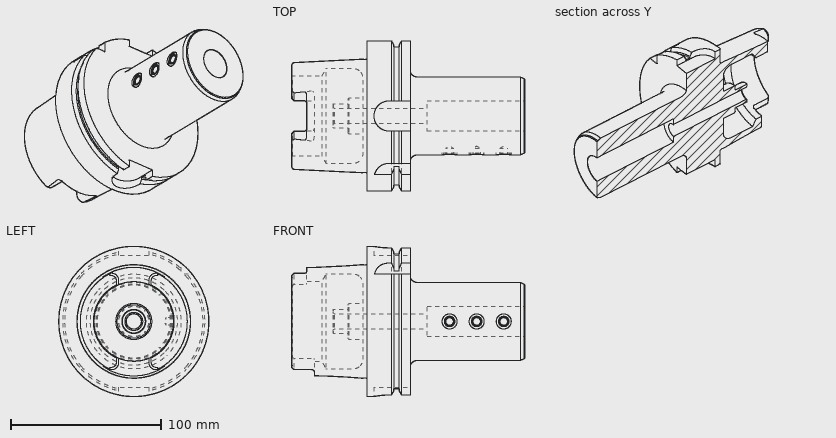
import cadquery as cq
import math


quarter_arc_inset = 1 - math.sqrt(0.5)

taper_length = 50.0
taper_gauge_x = -2.8
taper_gauge_diameter = 75.7
taper_ratio = 1 / 10
taper_nose_radius = 2.0
undercut_diameter = 75.3
undercut_start_x = -1.9
undercut_fillet = 1.0
undercut_face_depth = 0.1
undercut_face_diameter = 78.6

flange_diameter = 100.0
flange_width = 29.0
groove_front_x = 16.4
groove_floor_start_x = 17.9
groove_floor_end_x = 21.5
groove_back_x = 23.0
groove_floor_diameter = 92.0
groove_bevel_height = 2.7

total_length = 155.0
nose_x = total_length - taper_length
shank_diameter = 52.0
shank_root_fillet = 5.0
shank_root_reach = 4.6
shank_chamfer_length = 3.0
shank_chamfer_height = 1.1
shank_edge_break = 0.6

bore_diameter = 53.0
bore_mouth_diameter = 53.8
clamp_diameter = 63.0
clamp_shoulder_x = -30.0
clamp_shoulder_angle = 60.0
bore_floor_diameter = 50.4
bore_floor_fillet = (clamp_diameter - bore_floor_diameter) / 2
bore_floor_x = -2.7

collar_diameter = 24.0
collar_length = 10.0
collar_chamfer = 0.9
tube_tip_diameter = 15.3
tube_diameter = 16.0
tube_length = 20.0
tube_mouth_diameter = 12.0
tube_tip_chamfer = (tube_diameter - tube_tip_diameter) / 2
coolant_diameter = 10.0

tool_bore_diameter = 20.0
tool_bore_mouth_diameter = 20.4
tool_bore_depth = 65.0

key_width = 20.0
key_depth_top = 10.0
key_depth_bottom = 15.0
key_corner_z = 27.3
key_corner_radius = 4.8
key_edge_size = 1.6

slot_width = 20.0
slot_radius = slot_width / 2
slot_center_x = 14.7
slot_floor = 44.0
notch_offset = 31.5

screw_end_distance = 14.0
screw_pitch = 18.0
screw_count = 3
screw_diameter = 10.0
screw_top_diameter = 7.0
screw_cone_angle = 30.0
screw_chamfer_width = (screw_diameter - screw_top_diameter) / 2
screw_chamfer_height = screw_chamfer_width * math.tan(math.radians(screw_cone_angle))
screw_recess = 0.5
socket_mouth_diameter = 5.77
socket_diameter = 5.0
socket_chamfer = (socket_mouth_diameter - socket_diameter) / 2
socket_depth = 4.0
socket_tip_length = socket_diameter / 2 * math.tan(math.radians(screw_cone_angle))


def taper_radius(x):
    return (taper_gauge_diameter + (x - taper_gauge_x) * taper_ratio) / 2


def make_body():
    """Solid of revolution: hollow-taper shank, flange and tool shank, without holes."""
    flange_radius = flange_diameter / 2
    shank_radius = shank_diameter / 2
    chamfer_end_radius = shank_radius - shank_chamfer_height
    root_x = flange_width + shank_root_reach
    root_rise = shank_root_fillet - math.sqrt(shank_root_fillet**2 - shank_root_reach**2)
    half_angle = math.asin(shank_root_reach / shank_root_fillet) / 2
    root_mid_x = root_x - shank_root_fillet * math.sin(half_angle)
    root_mid_r = shank_radius + shank_root_fillet * (1 - math.cos(half_angle))
    bevel_r = flange_radius - groove_bevel_height
    undercut_radius = undercut_diameter / 2
    fillet_mid = undercut_fillet * quarter_arc_inset
    nose_end_x = -taper_length + taper_nose_radius
    nose_radius = taper_radius(nose_end_x)
    nose_mid = taper_nose_radius * quarter_arc_inset
    profile = (
        cq.Workplane("XY")
        .moveTo(-taper_length, 0)
        .lineTo(-taper_length, nose_radius - taper_nose_radius)
        .threePointArc((-taper_length + nose_mid, nose_radius - nose_mid), (nose_end_x, nose_radius))
        .lineTo(taper_gauge_x, taper_gauge_diameter / 2)
        .lineTo(undercut_start_x, undercut_radius)
        .lineTo(undercut_face_depth - undercut_fillet, undercut_radius)
        .threePointArc(
            (undercut_face_depth - fillet_mid, undercut_radius + fillet_mid),
            (undercut_face_depth, undercut_radius + undercut_fillet),
        )
        .lineTo(0, undercut_face_diameter / 2)
        .lineTo(0, flange_radius)
        .lineTo(groove_front_x, flange_radius)
        .lineTo(groove_floor_start_x, bevel_r)
        .lineTo(groove_floor_start_x, groove_floor_diameter / 2)
        .lineTo(groove_floor_end_x, groove_floor_diameter / 2)
        .lineTo(groove_floor_end_x, bevel_r)
        .lineTo(groove_back_x, flange_radius)
        .lineTo(flange_width, flange_radius)
        .lineTo(flange_width, shank_radius + root_rise)
        .threePointArc((root_mid_x, root_mid_r), (root_x, shank_radius))
        .lineTo(nose_x - shank_chamfer_length, shank_radius)
        .lineTo(nose_x - shank_edge_break, chamfer_end_radius)
        .lineTo(nose_x, chamfer_end_radius - shank_edge_break)
        .lineTo(nose_x, 0)
        .close()
    )
    return profile.revolve(360, (0, 0, 0), (1, 0, 0))


def make_bore():
    """Stepped bore for the clamping unit, with an undercut behind its mouth."""
    bore_radius = bore_diameter / 2
    clamp_radius = clamp_diameter / 2
    mouth_chamfer = (bore_mouth_diameter - bore_diameter) / 2
    shoulder_length = (clamp_radius - bore_radius) / math.tan(math.radians(clamp_shoulder_angle))
    fillet_mid = bore_floor_fillet * quarter_arc_inset
    profile = (
        cq.Workplane("XY")
        .moveTo(-taper_length, 0)
        .lineTo(-taper_length, bore_mouth_diameter / 2)
        .lineTo(-taper_length + mouth_chamfer, bore_radius)
        .lineTo(clamp_shoulder_x, bore_radius)
        .lineTo(clamp_shoulder_x + shoulder_length, clamp_radius)
        .lineTo(bore_floor_x - bore_floor_fillet, clamp_radius)
        .threePointArc(
            (bore_floor_x - fillet_mid, clamp_radius - fillet_mid),
            (bore_floor_x, bore_floor_diameter / 2),
        )
        .lineTo(bore_floor_x, 0)
        .close()
    )
    return profile.revolve(360, (0, 0, 0), (1, 0, 0))


def cylinder(start_x, end_x, diameter):
    return cq.Workplane("YZ", origin=(start_x, 0, 0)).circle(diameter / 2).extrude(end_x - start_x)


def make_coolant_tube():
    """Threaded collar and tube, still without the passage through them."""
    collar = cylinder(bore_floor_x - collar_length, bore_floor_x, collar_diameter)
    collar = collar.faces("<X").chamfer(collar_chamfer)
    tube = cylinder(bore_floor_x - tube_length, bore_floor_x, tube_diameter)
    tube = tube.faces("<X").chamfer(tube_tip_chamfer)
    return collar.union(tube)


def make_countersink(x, direction, mouth_diameter, hole_diameter):
    """45 degree cone with its mouth at x, narrowing along direction (+1 or -1)."""
    mouth_radius = mouth_diameter / 2
    depth = (mouth_diameter - hole_diameter) / 2
    profile = (
        cq.Workplane("XY")
        .moveTo(x, 0)
        .lineTo(x, mouth_radius)
        .lineTo(x + direction * depth, mouth_radius - depth)
        .lineTo(x + direction * depth, 0)
        .close()
    )
    return profile.revolve(360, (0, 0, 0), (1, 0, 0))


def make_axial_holes():
    tube_tip_x = bore_floor_x - tube_length
    coolant = cylinder(tube_tip_x, nose_x, coolant_diameter)
    tool_bore = cylinder(nose_x - tool_bore_depth, nose_x, tool_bore_diameter)
    tube_mouth = make_countersink(tube_tip_x, 1, tube_mouth_diameter, coolant_diameter)
    tool_mouth = make_countersink(nose_x, -1, tool_bore_mouth_diameter, tool_bore_diameter)
    return coolant.union(tool_bore).union(tube_mouth).union(tool_mouth)


def draw_key_profile(plane, side, growth):
    """Outline of a key slot, grown outward by the given amount."""
    half = key_width / 2 + growth
    radius = key_corner_radius - growth
    flare_mid = radius * quarter_arc_inset
    flare_z = key_corner_z + radius
    wide = half + radius
    far = flange_diameter / 2
    return (
        plane.moveTo(-half, 0)
        .lineTo(-half, side * key_corner_z)
        .threePointArc((-half - flare_mid, side * (flare_z - flare_mid)), (-wide, side * flare_z))
        .lineTo(-far, side * flare_z)
        .lineTo(-far, side * far)
        .lineTo(far, side * far)
        .lineTo(far, side * flare_z)
        .lineTo(wide, side * flare_z)
        .threePointArc((half + flare_mid, side * (flare_z - flare_mid)), (half, side * key_corner_z))
        .lineTo(half, 0)
        .close()
    )


def make_key_slot(side, depth):
    """Driving key slot in the rim on the +Z (side 1) or -Z (side -1) side."""
    rim = cq.Workplane("YZ", origin=(-taper_length, 0, 0))
    slot = draw_key_profile(rim, side, 0).extrude(depth)
    slot = slot.faces(">X").edges().fillet(key_edge_size)
    chamfer = draw_key_profile(rim, side, key_edge_size).workplane(offset=key_edge_size)
    chamfer = draw_key_profile(chamfer, side, 0).loft(ruled=True)
    return slot.union(chamfer)


def make_gripper_slot(floor_z, center_y, top_z):
    """Round-ended slot, open toward the back of the flange."""
    slot = (
        cq.Workplane("XY", origin=(0, 0, floor_z))
        .moveTo(flange_width, center_y - slot_radius)
        .lineTo(slot_center_x, center_y - slot_radius)
        .threePointArc((slot_center_x - slot_radius, center_y), (slot_center_x, center_y + slot_radius))
        .lineTo(flange_width, center_y + slot_radius)
        .close()
        .extrude(top_z - floor_z)
    )
    return slot


def add_screw(body, x):
    """Sink a socket screw into the -Y side of the shank."""
    top = shank_diameter / 2 - screw_recess
    shoulder = top - screw_chamfer_height
    mouth = shank_diameter / 2
    screw_radius = screw_diameter / 2
    hole = cq.Workplane("XZ", origin=(x, -shoulder, 0)).circle(screw_radius).extrude(mouth - shoulder)
    head = (
        cq.Workplane("XY", origin=(x, 0, 0))
        .moveTo(0, -shoulder)
        .lineTo(screw_radius, -shoulder)
        .lineTo(screw_top_diameter / 2, -top)
        .lineTo(0, -top)
        .close()
        .revolve(360, (0, 0, 0), (0, 1, 0))
    )
    socket = (
        cq.Workplane("XY", origin=(x, 0, 0))
        .moveTo(0, -top)
        .lineTo(socket_mouth_diameter / 2, -top)
        .lineTo(socket_diameter / 2, -top + socket_chamfer)
        .lineTo(socket_diameter / 2, -top + socket_depth)
        .lineTo(0, -top + socket_depth + socket_tip_length)
        .close()
        .revolve(360, (0, 0, 0), (0, 1, 0))
    )
    return body.cut(hole).union(head).cut(socket)


def add_gripper_slots(body):
    top = flange_diameter / 2
    body = body.cut(make_gripper_slot(slot_floor, 0, top))
    body = body.cut(make_gripper_slot(-slot_floor, 0, -top))
    return body.cut(make_gripper_slot(notch_offset, -notch_offset - slot_radius, top))


result = make_body().cut(make_bore())
result = result.cut(make_key_slot(1, key_depth_top))
result = result.cut(make_key_slot(-1, key_depth_bottom))
result = add_gripper_slots(result)
result = result.union(make_coolant_tube()).cut(make_axial_holes())
for index in range(screw_count):
    result = add_screw(result, nose_x - screw_end_distance - index * screw_pitch)